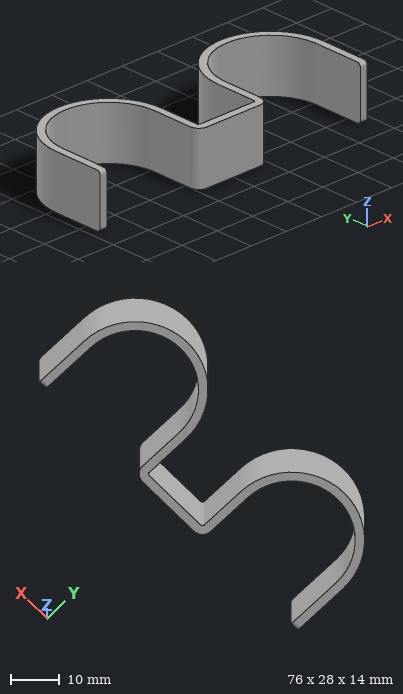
import cadquery as cq

length = 76.0
depth = 28.0
width = 14.0
thickness = 2.0
loop_outer_radius = 15.0
bend_inner_radius = 0.5
tip_corner_radius = 1.0
edge_match_tolerance = 0.001

loop_inner_radius = loop_outer_radius - thickness
bend_outer_radius = bend_inner_radius + thickness
loop_center_x = length / 2 - loop_outer_radius
leg_length = depth - loop_outer_radius
web_half_length = loop_center_x - loop_inner_radius


def make_loop(side):
    """Half ring with two straight legs; side is -1 or 1 along X."""
    def arch(radius):
        return (
            cq.Workplane("XY")
            .moveTo(side * loop_center_x - radius, 0)
            .lineTo(side * loop_center_x - radius, leg_length)
            .threePointArc(
                (side * loop_center_x, leg_length + radius),
                (side * loop_center_x + radius, leg_length),
            )
            .lineTo(side * loop_center_x + radius, 0)
            .close()
            .extrude(width)
        )

    return arch(loop_outer_radius).cut(arch(loop_inner_radius))


def make_web():
    """Flat strip joining the inner legs."""
    return cq.Workplane("XY").box(
        2 * web_half_length, thickness, width, centered=(True, False, False)
    )


def is_bend_edge(edge, half_span, y):
    """Tell whether an upright edge stands at X = +/-half_span and the given Y."""
    center = edge.Center()
    x_matches = abs(abs(center.x) - half_span) < edge_match_tolerance
    y_matches = abs(center.y - y) < edge_match_tolerance
    return x_matches and y_matches


def round_bend(body, half_span, y, radius):
    """Round the pair of upright edges at X = +/-half_span."""
    edges = [e for e in body.edges("|Z").vals() if is_bend_edge(e, half_span, y)]
    return body.newObject(edges).fillet(radius)


body = make_loop(-1).union(make_loop(1)).union(make_web()).clean()
body = round_bend(body, web_half_length, 0, bend_outer_radius)
body = round_bend(body, web_half_length - thickness, thickness, bend_inner_radius)

for side in (-1, 1):
    tip_center_x = side * (length - thickness) / 2
    tip_block = cq.Workplane("XY").box(
        thickness, leg_length, width, centered=(True, False, False)
    ).translate((tip_center_x, 0, 0))
    rounded_tip = tip_block.edges("|X and <Y").fillet(tip_corner_radius)
    body = body.cut(tip_block.cut(rounded_tip))

result = body